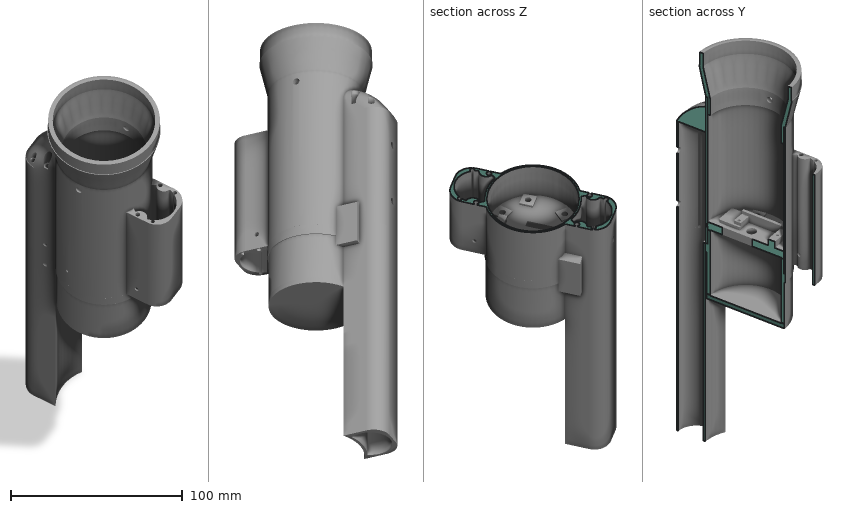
import cadquery as cq
import math

grip_split_z = 140.0
bracket_top_z = 218.2
tube_top_z = 243.7
cone_top_z = 264.2
bezel_top_z = 273.5
collar_bottom_z = 133.7
barrel_bottom_z = 104.5
cap_bottom_z = 101.2
handle_screw_offset = 9.5
upper_screw_z = grip_split_z + handle_screw_offset
lower_screw_z = grip_split_z - handle_screw_offset

tube_diameter = 56.3
tube_bore = 53.3
barrel_diameter = 55.2
inner_bore = 49.8
bezel_diameter = 65.0
bezel_bore = 59.5
cone_diameter = 66.0

spigot_length = 12.3
bezel_screw_z = 238.0
bezel_screw_diameter = 4.0

handle_reach = 48.8
handle_width = 29.3
handle_corner = 9.98
void_diameter = 25.7
void_x = 34.5
grip_back_wall = 2.0
handle_screw_x = 31.2
handle_screw_diameter = 2.7

boss_screw = (30.5, 12.5, 2.7, 5.0, 223.0)
outer_screw = (40.7, 12.3, 2.4, 3.8, 221.2)
cap_screws = (boss_screw, outer_screw)
boss_x = 32.5
boss_y = 13.7
boss_diameter = 9.0

face_hole_diameter = 4.0
face_hole_heights = (160.2, 198.0)

dome_axis_x = -15.0
dome_axis_z = 201.3

plate_bottom_z = 150.5
plate_top_z = 156.0
plate_screw_x = -8.8
plate_screw_z = (plate_bottom_z + plate_top_z) / 2
plate_screw_diameter = 1.8
plate_screw_depth = 5.5
plate_hole_diameter = 6.3
plate_hole_y = 6.3
slot_left = -16.0
slot_length = 20.8
slot_width = 4.5
slot_y = -2.0
pad_size = 8.2
pad_height = 1.5
pad_hole_diameter = 3.8
pads = ((9.3, 19.5, 0), (9.0, -19.7, 0), (20.2, -5.5, -16), (-14.8, -14.8, 45), (-5.7, 20.2, 10))
block_left = -21.0
block_bottom = 3.0
block_top = 17.0
block_height = 2.2
block_corner = 1.5
frame_left = -11.2
frame_right = 20.8
frame_top = 14.5
frame_bar = 2.0
frame_leg = 5.0
frame_left_end = 4.5
frame_right_end = -0.5
frame_leg_height = 4.5
frame_bar_height = 6.5
frame_hole_diameter = 1.8
frame_hole_y = 6.0

side_block_left = -34.5
side_block_outer_y = 18.5
side_block_bottom_z = 127.5
side_block_edge_z = 153.5
side_block_top_z = 156.0

tube_radius = tube_diameter / 2
half_width = handle_width / 2
y_sides = (1, -1)


def cylinder(diameter, bottom, top, x=0, y=0):
    return cq.Workplane("XY", origin=(x, y, bottom)).circle(diameter / 2).extrude(top - bottom)


def cross_hole(diameter, x, z, length):
    """Cylinder along Y, centred on the plane y = 0."""
    return cq.Workplane("XZ", origin=(x, 0, z)).circle(diameter / 2).extrude(length / 2, both=True)


def box(x_min, x_max, y_min, y_max, bottom, top):
    size = (x_max - x_min, y_max - y_min, top - bottom)
    return cq.Workplane("XY").box(*size, centered=False).translate((x_min, y_min, bottom))


def handle_block(bottom, top, side):
    """Round-cornered block from the tube axis outward; side is +1 for +X and -1 for -X."""
    block = box(0, handle_reach, -half_width, half_width, bottom, top)
    block = block.edges("|Z and >X").fillet(handle_corner)
    return block if side > 0 else block.mirror("YZ")


def bracket(side):
    """Hollow handle section beside the tube, with bosses for the dome cap screws."""
    bottom, top = grip_split_z, bracket_top_z
    outside = handle_block(bottom, top, side)
    void = cylinder(void_diameter, bottom, top, side * void_x)
    for y_side in y_sides:
        void = void.cut(cylinder(boss_diameter, bottom, top, side * boss_x, y_side * boss_y))
    shell = outside.cut(void)
    for x, y, hole_diameter, _, _ in cap_screws:
        for y_side in y_sides:
            shell = shell.cut(cylinder(hole_diameter, bottom, top, side * x, y_side * y))
    shell = shell.cut(cross_hole(handle_screw_diameter, side * handle_screw_x, upper_screw_z, handle_width))
    return shell.cut(cylinder(tube_diameter, bottom, top))


def make_housing():
    body = cylinder(tube_diameter, grip_split_z, tube_top_z)
    for side in (1, -1):
        body = body.union(bracket(side))
    body = body.cut(cylinder(tube_bore, grip_split_z, tube_top_z))
    body = body.cut(cross_hole(bezel_screw_diameter, 0, bezel_screw_z, tube_diameter))
    body = body.cut(plate_screw_hole())
    void_depth = handle_reach - void_x
    for height in face_hole_heights:
        hole = cq.Workplane("YZ", origin=(-handle_reach, 0, height)).circle(face_hole_diameter / 2)
        body = body.cut(hole.extrude(void_depth))
    return body


def make_bezel():
    """Flared ring with a spigot that fits the tube bore."""
    spigot_bottom_z = tube_top_z - spigot_length
    profile = [
        (inner_bore / 2, spigot_bottom_z),
        (tube_bore / 2, spigot_bottom_z),
        (tube_bore / 2, tube_top_z),
        (tube_radius, tube_top_z),
        (cone_diameter / 2, cone_top_z),
        (bezel_diameter / 2, cone_top_z),
        (bezel_diameter / 2, bezel_top_z),
        (bezel_bore / 2, bezel_top_z),
        (bezel_bore / 2, cone_top_z),
        (inner_bore / 2, tube_top_z),
    ]
    ring = cq.Workplane("XZ").polyline(profile).close().revolve(360, (0, 0), (0, 1))
    return ring.cut(cross_hole(bezel_screw_diameter, 0, bezel_screw_z, tube_diameter))


def make_grip():
    """Long hollow handle, hollowed at the back to follow the tube."""
    outside = handle_block(0, grip_split_z, -1).cut(cylinder(tube_diameter, 0, grip_split_z))
    void = cylinder(void_diameter, 0, grip_split_z, -void_x)
    void = void.cut(cylinder(tube_diameter + 2 * grip_back_wall, 0, grip_split_z))
    shell = outside.cut(void)
    return shell.cut(cross_hole(handle_screw_diameter, -handle_screw_x, lower_screw_z, handle_width))


def make_dome_cap():
    """Rounded cap closing the left bracket: the handle outline swept about a Y axis."""
    dome_radius = math.hypot(handle_reach + dome_axis_x, bracket_top_z - dome_axis_z)
    drum = cq.Workplane("XZ", origin=(dome_axis_x, 0, dome_axis_z)).circle(dome_radius)
    drum = drum.extrude(half_width, both=True).edges().fillet(handle_corner)
    cap = handle_block(bracket_top_z, tube_top_z, -1).intersect(drum)
    cap = cap.cut(cylinder(tube_diameter, bracket_top_z, tube_top_z))
    for x, y, hole_diameter, pocket_diameter, pocket_z in cap_screws:
        for y_side in y_sides:
            cap = cap.cut(cylinder(hole_diameter, bracket_top_z, tube_top_z, -x, y_side * y))
            cap = cap.cut(cylinder(pocket_diameter, pocket_z, tube_top_z, -x, y_side * y))
    return cap


def make_barrel():
    """Lower tube with a collar under the housing and a spigot inside it."""
    body = cylinder(barrel_diameter, barrel_bottom_z, collar_bottom_z)
    body = body.union(cylinder(tube_diameter, collar_bottom_z, grip_split_z))
    body = body.union(cylinder(tube_bore, grip_split_z, plate_bottom_z))
    return body.cut(cylinder(inner_bore, barrel_bottom_z, plate_bottom_z))


def make_end_cap():
    return cylinder(barrel_diameter, cap_bottom_z, barrel_bottom_z)


def plate_screw_hole():
    """Small hole through the -Y tube wall into the rim of the carrier plate."""
    start = cq.Workplane("XZ", origin=(plate_screw_x, -tube_radius, plate_screw_z))
    return start.circle(plate_screw_diameter / 2).extrude(-plate_screw_depth)


def raised_block():
    right = frame_left + frame_leg
    top = plate_top_z + block_height
    block = box(block_left, right, block_bottom, block_top, plate_top_z, top)
    return block.edges("|Z and <X").fillet(block_corner)


def raised_frame():
    """U-shaped frame: a taller bar and two legs with one hole each."""
    top = plate_top_z + frame_leg_height
    bar_top = plate_top_z + frame_bar_height
    frame = box(frame_left, frame_right, frame_top - frame_bar, frame_top, plate_top_z, bar_top)
    legs = ((frame_left, frame_left_end), (frame_right - frame_leg, frame_right_end))
    for left, end in legs:
        frame = frame.union(box(left, left + frame_leg, end, frame_top, plate_top_z, top))
    for left, _ in legs:
        frame = frame.cut(cylinder(frame_hole_diameter, plate_top_z, top, left + frame_leg / 2, frame_hole_y))
    return frame


def make_carrier_plate():
    plate = cylinder(tube_bore, plate_bottom_z, plate_top_z)
    plate = plate.cut(cylinder(plate_hole_diameter, plate_bottom_z, plate_top_z, 0, plate_hole_y))
    slot_right = slot_left + slot_length
    slot_front = slot_y - slot_width / 2
    slot = box(slot_left, slot_right, slot_front, slot_front + slot_width, plate_bottom_z, plate_top_z)
    plate = plate.cut(slot).union(raised_block()).union(raised_frame())
    pad_top_z = plate_top_z + pad_height
    for x, y, angle in pads:
        pad = cq.Workplane("XY").rect(pad_size, pad_size).extrude(pad_height)
        pad = pad.rotate((0, 0, 0), (0, 0, 1), angle).translate((x, y, plate_top_z))
        plate = plate.union(pad).cut(cylinder(pad_hole_diameter, plate_bottom_z, pad_top_z, x, y))
    plate = plate.intersect(cylinder(tube_bore, plate_bottom_z, plate_top_z + frame_bar_height))
    return plate.cut(plate_screw_hole())


def make_side_block():
    """Slope-topped block on the +Y face of the handle, reaching in to the tube."""
    outline = [
        (half_width, side_block_bottom_z),
        (side_block_outer_y, side_block_bottom_z),
        (side_block_outer_y, side_block_edge_z),
        (half_width, side_block_top_z),
    ]
    start = cq.Workplane("YZ", origin=(side_block_left, 0, 0))
    block = start.polyline(outline).close().extrude(-side_block_left)
    return block.cut(cylinder(tube_diameter, side_block_bottom_z, side_block_top_z))


housing = make_housing()
bezel = make_bezel()
grip = make_grip()
dome_cap = make_dome_cap()
barrel = make_barrel()
end_cap = make_end_cap()
carrier_plate = make_carrier_plate()
side_block = make_side_block()

result = cq.Compound.makeCompound([
    housing.val(),
    bezel.val(),
    grip.val(),
    dome_cap.val(),
    barrel.val(),
    end_cap.val(),
    carrier_plate.val(),
    side_block.val(),
])